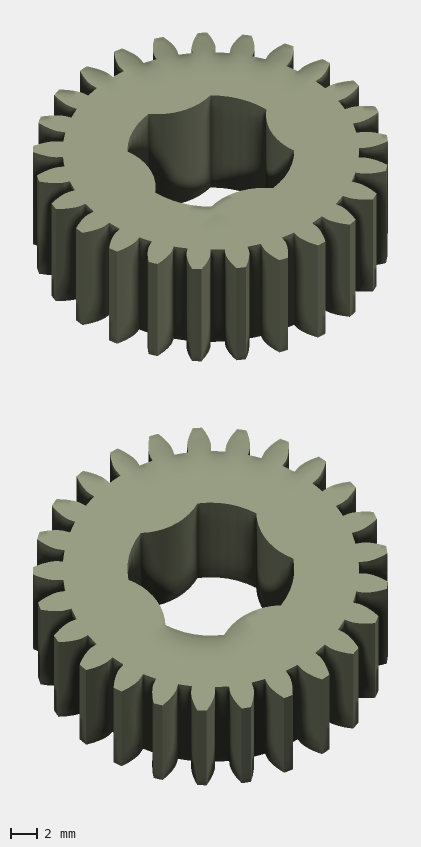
import cadquery as cq
import math

tooth_count = 25
overall_depth = 26.98
gear_height = 9.4
pressure_angle = math.radians(20)

addendum = 1
dedendum = 1.25

flank_points = 7

bore_radius = 6.35
lobe_count = 4
lobe_radius = 4.95
lobe_reach = 5.07


def polar(radius, angle):
    return (radius * math.cos(angle), radius * math.sin(angle))


def involute(angle):
    return math.tan(angle) - angle


pitch_angle = 2 * math.pi / tooth_count
base_half_angle = pitch_angle / 4 + involute(pressure_angle)
tip_pressure_angle = math.acos(math.cos(pressure_angle) * tooth_count / (tooth_count + 2 * addendum))
tip_half_angle = base_half_angle - involute(tip_pressure_angle)

outer_radius = overall_depth / 2 / math.cos(pitch_angle / 4 - tip_half_angle)
module = 2 * outer_radius / (tooth_count + 2 * addendum)
pitch_radius = module * tooth_count / 2
root_radius = pitch_radius - dedendum * module
base_radius = pitch_radius * math.cos(pressure_angle)


def flank_half_angle(radius):
    """Half the angle a tooth spans at a radius on its involute flanks."""
    return base_half_angle - involute(math.acos(base_radius / radius))


def tooth_flank(center_angle, side):
    """Flank points from base to tip; side is -1 or 1 about the tooth centre line."""
    step = (outer_radius - base_radius) / (flank_points - 1)
    radii = [base_radius + i * step for i in range(flank_points)]
    return [polar(r, center_angle + side * flank_half_angle(r)) for r in radii]


def gear_blank():
    """Toothed disc, with radial flanks between the root and base circles."""
    outline = cq.Workplane("XY").moveTo(*polar(root_radius, -base_half_angle))
    for i in range(tooth_count):
        center = i * pitch_angle
        rising_flank = tooth_flank(center, -1)
        falling_flank = tooth_flank(center, 1)[::-1]
        next_root = polar(root_radius, center + pitch_angle - base_half_angle)
        outline = (
            outline.lineTo(*rising_flank[0])
            .spline(rising_flank[1:], includeCurrent=True)
            .threePointArc(polar(outer_radius, center), falling_flank[0])
            .spline(falling_flank[1:], includeCurrent=True)
            .lineTo(*polar(root_radius, center + base_half_angle))
            .threePointArc(polar(root_radius, center + pitch_angle / 2), next_root)
        )
    return outline.close().extrude(gear_height)


def lobed_bore():
    """Round bore cutter with the inward lobes left out of it."""
    cutter = cq.Workplane("XY").circle(bore_radius).extrude(gear_height)
    lobes = (
        cq.Workplane("XY")
        .polarArray(lobe_reach + lobe_radius, 0, 360, lobe_count)
        .circle(lobe_radius)
        .extrude(gear_height)
    )
    return cutter.cut(lobes)


result = gear_blank().cut(lobed_bore())